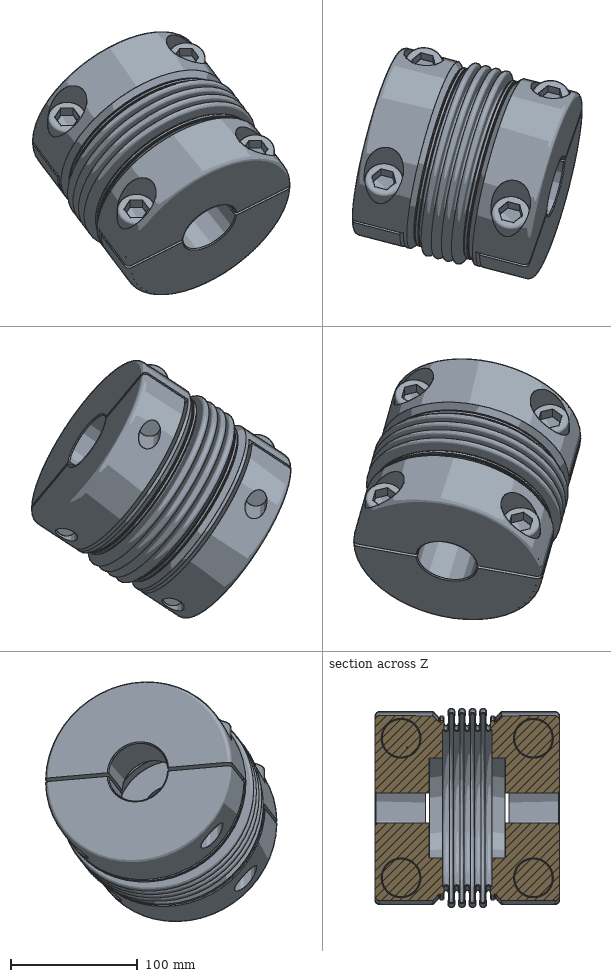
import cadquery as cq
import math

length = 145.5
hub_radius = 152.0 / 2
hub_end_fillet = 4.0
hub_recess_radius = 44.5
bore_diameter = 48.0
bore_chamfer = 1.0

taper_start_x = 27.0
neck_radius = 143.2 / 2
ring_radius = 145.0 / 2
groove_radius = 71.0
groove_outer_x = 21.7
ring_outer_x = 21.2
ring_inner_x = 19.0

wave_count = 4
wave_pitch = 8.3
crest_top_radius = 78.5
root_bottom_radius = 65.0
crest_bend = 2.7
root_bend = wave_pitch / 2 - crest_bend
sheet_thickness = crest_bend - root_bend

slot_width = 3.0
cross_slot_inner_x = 29.8

screw_x = 52.1
screw_y = 55.0
shank_diameter = 20.0
head_diameter = 30.0
head_top_z = 41.0
head_height = 20.0
head_fillet = 2.0
socket_across_flats = 17.0
socket_depth = 10.0
socket_tip_depth = 2.5
shank_end_z = -37.7
clearance_diameter = 21.0
counterbore_diameter = 31.0
tapped_hole_diameter = 17.3

half_length = length / 2
head_seat_z = head_top_z - head_height
crest_centers = [(i - (wave_count - 1) / 2) * wave_pitch for i in range(wave_count)]
first_root_x = crest_centers[0] - wave_pitch / 2
flank_x = -first_root_x + root_bend
root_bend_center = root_bottom_radius + root_bend


def add_waves(profile, inset):
    """Draw the waves from the first root bottom to the last one, inset into the sheet."""
    crest_r = crest_bend - inset
    root_r = root_bend + inset
    crest_center = crest_top_radius - crest_bend
    root_low = root_bend_center - root_r
    bend_offset = root_r * math.sqrt(0.5)
    arc_mid_radius = root_bend_center - bend_offset
    for x in crest_centers:
        left_root = x - wave_pitch / 2
        right_root = x + wave_pitch / 2
        profile = (
            profile
            .threePointArc((left_root + bend_offset, arc_mid_radius), (x - crest_r, root_bend_center))
            .lineTo(x - crest_r, crest_center)
            .threePointArc((x, crest_center + crest_r), (x + crest_r, crest_center))
            .lineTo(x + crest_r, root_bend_center)
            .threePointArc((right_root - bend_offset, arc_mid_radius), (right_root, root_low))
        )
    return profile


def revolve_about_x(profile):
    return profile.close().revolve(360, (0, 0, 0), (1, 0, 0))


def make_outer_body():
    """Both hubs, the rings and the bellows as one solid of revolution."""
    taper_end_x = taper_start_x - (hub_radius - neck_radius)
    bend_offset = root_bend * math.sqrt(0.5)
    arc_mid_radius = root_bend_center - bend_offset
    left_hub = [
        (-half_length, hub_radius),
        (-taper_start_x, hub_radius),
        (-taper_end_x, neck_radius),
        (-groove_outer_x, neck_radius),
        (-groove_outer_x, groove_radius),
        (-ring_outer_x, groove_radius),
        (-ring_outer_x, ring_radius),
        (-ring_inner_x, ring_radius),
        (-ring_inner_x, neck_radius),
        (-flank_x, neck_radius),
        (-flank_x, root_bend_center),
    ]
    right_hub = [(-x, radius) for x, radius in reversed(left_hub)]

    profile = cq.Workplane("XY").moveTo(-half_length, 0)
    for point in left_hub:
        profile = profile.lineTo(*point)
    profile = profile.threePointArc(
        (first_root_x - bend_offset, arc_mid_radius), (first_root_x, root_bottom_radius)
    )
    profile = add_waves(profile, 0)
    profile = profile.threePointArc((-first_root_x + bend_offset, arc_mid_radius), right_hub[0])
    for point in right_hub[1:]:
        profile = profile.lineTo(*point)
    body = revolve_about_x(profile.lineTo(half_length, 0))
    return body.faces("<X or >X").edges().fillet(hub_end_fillet)


def make_cavity():
    """Hollow between the hubs: a round recess in each hub and the inside of the bellows."""
    hub_end_x = flank_x + sheet_thickness
    inner_bend = root_bend + sheet_thickness
    inner_root_radius = root_bottom_radius - sheet_thickness
    bend_offset = inner_bend * math.sqrt(0.5)
    arc_mid_radius = root_bend_center - bend_offset
    profile = (
        cq.Workplane("XY")
        .moveTo(-cross_slot_inner_x, 0)
        .lineTo(-cross_slot_inner_x, hub_recess_radius)
        .lineTo(-hub_end_x, hub_recess_radius)
        .lineTo(-hub_end_x, root_bend_center)
        .threePointArc((first_root_x - bend_offset, arc_mid_radius), (first_root_x, inner_root_radius))
    )
    profile = (
        add_waves(profile, sheet_thickness)
        .threePointArc((-first_root_x + bend_offset, arc_mid_radius), (hub_end_x, root_bend_center))
        .lineTo(hub_end_x, hub_recess_radius)
        .lineTo(cross_slot_inner_x, hub_recess_radius)
        .lineTo(cross_slot_inner_x, 0)
    )
    return revolve_about_x(profile)


def make_bore():
    bore = cq.Workplane("YZ").circle(bore_diameter / 2).extrude(half_length, both=True)
    mouth_radius = bore_diameter / 2 + bore_chamfer
    for side in (-1, 1):
        mouth = cq.Solid.makeCone(
            mouth_radius, bore_diameter / 2, bore_chamfer,
            cq.Vector(side * half_length, 0, 0), cq.Vector(-side, 0, 0),
        )
        bore = bore.union(cq.Workplane(mouth))
    return bore


def make_slots(side):
    """L-shaped cut: along the split plane, then down across the lower half."""
    inner_x = side * cross_slot_inner_x
    outer_x = inner_x + side * slot_width
    top_z = slot_width / 2
    floor_z = -crest_top_radius
    outline = [
        (side * half_length, top_z),
        (inner_x, top_z),
        (inner_x, floor_z),
        (outer_x, floor_z),
        (outer_x, -top_z),
        (side * half_length, -top_z),
    ]
    return cq.Workplane("XZ").polyline(outline).close().extrude(crest_top_radius, both=True)


def cylinder_z(x, y, diameter, z_low, z_high):
    return cq.Workplane("XY", origin=(x, y, z_low)).circle(diameter / 2).extrude(z_high - z_low)


def make_screw_holes(x, y):
    """Tapped hole below the split, clearance hole and counterbore above it."""
    tapped = cylinder_z(x, y, tapped_hole_diameter, -crest_top_radius, 0)
    clearance = cylinder_z(x, y, clearance_diameter, 0, head_seat_z)
    counterbore = cylinder_z(x, y, counterbore_diameter, head_seat_z, crest_top_radius)
    return tapped.union(clearance).union(counterbore)


def make_screw(x, y):
    """Socket head cap screw with a hexagonal socket ending in a conical point."""
    head = cylinder_z(x, y, head_diameter, head_seat_z, head_top_z)
    head = head.faces(">Z").edges().fillet(head_fillet)
    shank = cylinder_z(x, y, shank_diameter, shank_end_z, head_seat_z)
    across_corners = socket_across_flats / math.cos(math.pi / 6)
    socket_floor_z = head_top_z - socket_depth
    socket = (
        cq.Workplane("XY", origin=(x, y, socket_floor_z))
        .polygon(6, across_corners)
        .extrude(socket_depth)
    )
    tip = cq.Solid.makeCone(
        socket_across_flats / 2, 0, socket_tip_depth,
        cq.Vector(x, y, socket_floor_z), cq.Vector(0, 0, -1),
    )
    return head.union(shank).cut(socket).cut(cq.Workplane(tip))


result = make_outer_body().cut(make_cavity()).cut(make_bore())
for side in (-1, 1):
    result = result.cut(make_slots(side))
for x in (-screw_x, screw_x):
    for y in (-screw_y, screw_y):
        result = result.cut(make_screw_holes(x, y)).union(make_screw(x, y))